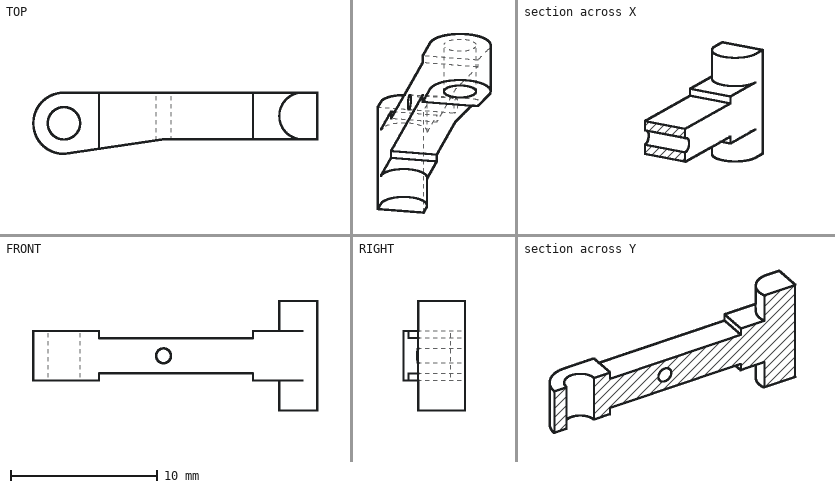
import cadquery as cq

total_length = 19.4
total_height = 7.5

eye_radius = 2.1
eye_hole_diameter = 2.2
end_height = 3.4

arm_width = 3.2
arm_back = eye_radius
arm_front = arm_back - arm_width
arm_end = total_length - eye_radius
knee_x = 6.8

waist_height = 2.4
waist_start = 2.4
waist_end = 12.9

cross_hole_diameter = 1.0

trunnion_radius = arm_width / 2
flat_length = 1.0
trunnion_x = arm_end - flat_length
trunnion_y = (arm_back + arm_front) / 2


def centred_prism(sketch, height):
    """Extrude an XY outline to the given height, centred on the mid-plane."""
    return sketch.extrude(height / 2, both=True)


def make_arm():
    """Arm with a rounded eye end and a front side that tapers to the knee."""
    outline = (
        cq.Workplane("XY")
        .moveTo(0, eye_radius)
        .threePointArc((-eye_radius, 0), (0, -eye_radius))
        .lineTo(knee_x, arm_front)
        .lineTo(arm_end, arm_front)
        .lineTo(arm_end, arm_back)
        .close()
    )
    return centred_prism(outline, end_height)


def make_trunnion():
    """Half-round nose with a flat block behind it, standing above and below the arm."""
    outline = (
        cq.Workplane("XY")
        .moveTo(trunnion_x, arm_back)
        .threePointArc((trunnion_x - trunnion_radius, trunnion_y), (trunnion_x, arm_front))
        .lineTo(arm_end, arm_front)
        .lineTo(arm_end, arm_back)
        .close()
    )
    return centred_prism(outline, total_height)


def make_waist_cut(side):
    """Block that thins the arm from above (side = 1) or below (side = -1)."""
    depth = (end_height - waist_height) / 2
    return (
        cq.Workplane("XY")
        .box(waist_end - waist_start, 4 * eye_radius, depth)
        .translate(((waist_start + waist_end) / 2, 0, side * (waist_height + depth) / 2))
    )


def make_eye_hole():
    """Vertical hole through the eye."""
    return centred_prism(cq.Workplane("XY").circle(eye_hole_diameter / 2), end_height)


def make_cross_hole():
    """Hole along Y through the arm at the knee."""
    sketch = cq.Workplane("XZ").center(knee_x, 0).circle(cross_hole_diameter / 2)
    return sketch.extrude(2 * eye_radius, both=True)


result = make_arm()
for side in (1, -1):
    result = result.cut(make_waist_cut(side))
result = result.union(make_trunnion()).cut(make_eye_hole()).cut(make_cross_hole())